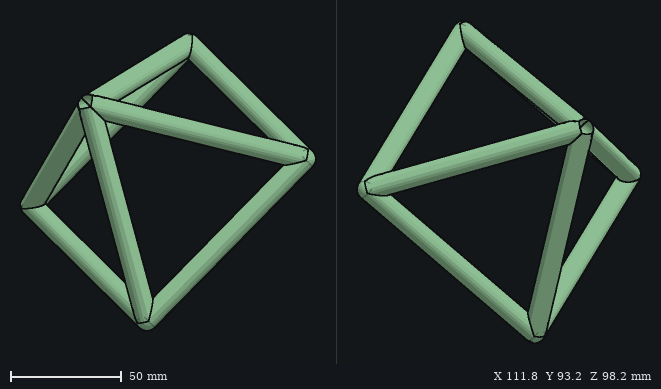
import cadquery as cq
import math

overall_length = 111.8
bar_diameter = 10.2
bar_radius = bar_diameter / 2
bar_length = overall_length - bar_diameter
half_length = bar_length / 2

apex_height = bar_length / math.sqrt(2)
tip_angle = math.degrees(math.atan2(half_length, apex_height))

apex = cq.Vector(0, half_length, apex_height)
base_corners = [
    cq.Vector(-half_length, 0, 0),
    cq.Vector(half_length, 0, 0),
    cq.Vector(half_length, bar_length, 0),
    cq.Vector(-half_length, bar_length, 0),
]


def make_bar(start, end):
    """Cylinder with flat ends centred on two corner points."""
    axis = end - start
    return cq.Workplane(cq.Solid.makeCylinder(bar_radius, axis.Length, start, axis))


def make_ball(centre):
    """Ball as wide as the bars, which rounds off a corner."""
    return cq.Workplane("XY", origin=centre.toTuple()).sphere(bar_radius)


def make_base_frame():
    """Four bars in a square, with a ball at each corner."""
    frame = make_ball(base_corners[0])
    for corner in base_corners[1:]:
        frame = frame.union(make_ball(corner))
    for index, corner in enumerate(base_corners):
        previous_corner = base_corners[index - 1]
        frame = frame.union(make_bar(previous_corner, corner))
    return frame


def quarter_block(corner):
    """Upright block over one quarter of the base; its inner walls are the apex mitres."""
    side = half_length + bar_diameter
    x_sign = math.copysign(1, corner.x - apex.x)
    y_sign = math.copysign(1, corner.y - apex.y)
    centre = (apex.x + x_sign * side / 2, apex.y + y_sign * side / 2, apex_height / 2)
    return cq.Workplane("XY", origin=centre).box(side, side, apex_height + 2 * bar_diameter)


def make_strut(corner, frame):
    """Bar from the apex to a base corner, mitred at the top and fitted to the frame below."""
    return make_bar(apex, corner).intersect(quarter_block(corner)).cut(frame)


def tip_upright(body):
    """Turn a body about the front base edge until the front face is vertical."""
    return body.rotate((0, 0, 0), (1, 0, 0), tip_angle)


base_frame = make_base_frame()
struts = [make_strut(corner, base_frame) for corner in base_corners]

apex_ball = make_ball(apex)
struts = [struts[0].union(apex_ball)] + [strut.cut(apex_ball) for strut in struts[1:]]

bodies = [tip_upright(body) for body in [base_frame, *struts]]
result = cq.Compound.makeCompound([solid for body in bodies for solid in body.solids().vals()])